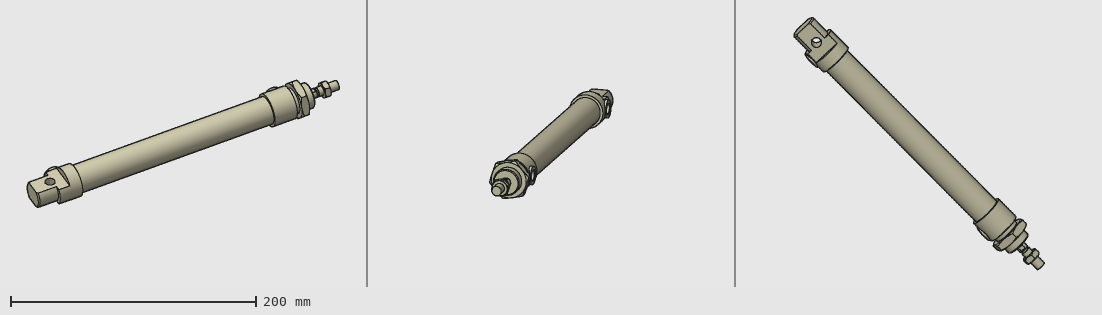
import cadquery as cq
import math


SHOULDER_Y = 18.0
REAR_STEP_Y = 28.0
TUBE_START_Y = 38.5
TUBE_END_Y = 215.5
FRONT_HEAD_END_Y = 236.0
COLLAR_END_Y = 254.2
ROD_END_Y = 280.0

TUBE_DIAMETER = 24.0
HEAD_DIAMETER = 28.5
COLLAR_DIAMETER = 22.0
COLLAR_CHAMFER = 0.8
TONGUE_THICKNESS = 16.2
TONGUE_CHAMFER = 1.0
PIVOT_HOLE_DIAMETER = 8.0
PIVOT_HOLE_Y = 16.0

PORT_BOSS_DIAMETER = 15.0
PORT_HOLE_DIAMETER = 8.7
PORT_HOLE_DEPTH = 5.5
PORT_CHAMFER = 0.5
PORT_FACE_X = -14.8
REAR_PORT_Y = SHOULDER_Y + PORT_BOSS_DIAMETER / 2
FRONT_PORT_Y = 228.0

ROD_DIAMETER = 8.0
GROOVE_DIAMETER = 6.5
GROOVE_START_Y = 260.0
GROOVE_WIDTH = 1.7
WRENCH_FLAT_WIDTH = 7.0
WRENCH_FLAT_START_Y = 255.5
WRENCH_FLAT_LENGTH = 3.5

HEXAGON_SIDES = 6
NUT_TURN = -12.0
COLLAR_NUT_FLATS = 30.0
COLLAR_NUT_CHAMFER_ANGLE = 30.0
COLLAR_NUT_START_Y = 240.0
COLLAR_NUT_THICKNESS = 7.0
ROD_NUT_FLATS = 13.0
ROD_NUT_CHAMFER_ANGLE = 45.0
ROD_NUT_START_Y = 266.0
ROD_NUT_THICKNESS = 5.3


def axial_cylinder(diameter, start_y, end_y):
    """Solid cylinder on the Y axis from start_y to end_y."""
    base = cq.Workplane("XZ", origin=(0, start_y, 0))
    return base.circle(diameter / 2).extrude(start_y - end_y)


def port_cylinder(diameter, port_y, start_x, length):
    """Cylinder along +X, centred on a port."""
    return cq.Workplane("YZ", origin=(start_x, port_y, 0)).circle(diameter / 2).extrude(length)


def make_rear_head():
    """Round head that steps down to a flat-sided tongue with a pivot hole."""
    tongue = axial_cylinder(COLLAR_DIAMETER, 0, SHOULDER_Y).faces("<Y").chamfer(TONGUE_CHAMFER)
    shoulder = axial_cylinder(HEAD_DIAMETER, SHOULDER_Y, REAR_STEP_Y)
    flat_slab = cq.Workplane("XY").box(
        HEAD_DIAMETER, REAR_STEP_Y, TONGUE_THICKNESS, centered=(True, False, True)
    )
    flat_end = tongue.union(shoulder).intersect(flat_slab)
    head = flat_end.union(axial_cylinder(HEAD_DIAMETER, REAR_STEP_Y, TUBE_START_Y))
    pivot_hole = (
        cq.Workplane("XY")
        .center(0, PIVOT_HOLE_Y)
        .circle(PIVOT_HOLE_DIAMETER / 2)
        .extrude(HEAD_DIAMETER, both=True)
    )
    return head.cut(pivot_hole)


def make_front_head():
    """Round head with the threaded mounting collar in front of it."""
    head = axial_cylinder(HEAD_DIAMETER, TUBE_END_Y, FRONT_HEAD_END_Y)
    collar = axial_cylinder(COLLAR_DIAMETER, FRONT_HEAD_END_Y, COLLAR_END_Y)
    return head.union(collar.faces(">Y").chamfer(COLLAR_CHAMFER))


def make_port_hole(port_y):
    """Blind port hole with a chamfered mouth, as a solid to cut away."""
    hole = port_cylinder(PORT_HOLE_DIAMETER, port_y, PORT_FACE_X, PORT_HOLE_DEPTH)
    mouth_diameter = PORT_HOLE_DIAMETER + 2 * PORT_CHAMFER
    cone = cq.Solid.makeCone(
        mouth_diameter / 2,
        PORT_HOLE_DIAMETER / 2,
        PORT_CHAMFER,
        pnt=cq.Vector(PORT_FACE_X, port_y, 0),
        dir=cq.Vector(1, 0, 0),
    )
    return hole.union(cq.Workplane(obj=cone))


def make_housing():
    """Tube and both heads in one piece, with the ports and the rod bore."""
    housing = axial_cylinder(TUBE_DIAMETER, TUBE_START_Y, TUBE_END_Y)
    housing = housing.union(make_rear_head()).union(make_front_head())
    for port_y in (REAR_PORT_Y, FRONT_PORT_Y):
        boss = port_cylinder(PORT_BOSS_DIAMETER, port_y, PORT_FACE_X, PORT_HOLE_DEPTH)
        housing = housing.union(boss).cut(make_port_hole(port_y))
    return housing.cut(axial_cylinder(ROD_DIAMETER, TUBE_END_Y, COLLAR_END_Y))


def make_rod():
    """Rod seated in the front head, with wrench flats and a thread relief groove."""
    rod = axial_cylinder(ROD_DIAMETER, TUBE_END_Y, ROD_END_Y)
    groove_end_y = GROOVE_START_Y + GROOVE_WIDTH
    groove = axial_cylinder(ROD_DIAMETER, GROOVE_START_Y, groove_end_y).cut(
        axial_cylinder(GROOVE_DIAMETER, GROOVE_START_Y, groove_end_y)
    )
    flat_stretch = cq.Workplane("XY", origin=(0, WRENCH_FLAT_START_Y, 0))
    flats = flat_stretch.box(
        ROD_DIAMETER, WRENCH_FLAT_LENGTH, ROD_DIAMETER, centered=(True, False, True)
    ).cut(
        flat_stretch.box(
            ROD_DIAMETER, WRENCH_FLAT_LENGTH, WRENCH_FLAT_WIDTH, centered=(True, False, True)
        )
    )
    return rod.cut(groove).cut(flats)


def make_nut(across_flats, bore_diameter, start_y, thickness, chamfer_angle):
    """Hexagon nut with its corners chamfered on both faces."""
    flat_radius = across_flats / 2
    corner_radius = flat_radius / math.cos(math.pi / HEXAGON_SIDES)
    chamfer_height = (corner_radius - flat_radius) * math.tan(math.radians(chamfer_angle))
    end_y = start_y + thickness
    hexagon = (
        cq.Workplane("XZ", origin=(0, start_y, 0))
        .polygon(HEXAGON_SIDES, 2 * corner_radius)
        .extrude(-thickness)
        .rotate((0, 0, 0), (0, 1, 0), -NUT_TURN)
    )
    chamfer_envelope = (
        cq.Workplane("XY")
        .moveTo(0, start_y)
        .lineTo(flat_radius, start_y)
        .lineTo(corner_radius, start_y + chamfer_height)
        .lineTo(corner_radius, end_y - chamfer_height)
        .lineTo(flat_radius, end_y)
        .lineTo(0, end_y)
        .close()
        .revolve(360, (0, 0, 0), (0, 1, 0))
    )
    return hexagon.intersect(chamfer_envelope).cut(axial_cylinder(bore_diameter, start_y, end_y))


housing = make_housing()
rod = make_rod()
collar_nut = make_nut(
    COLLAR_NUT_FLATS, COLLAR_DIAMETER, COLLAR_NUT_START_Y, COLLAR_NUT_THICKNESS, COLLAR_NUT_CHAMFER_ANGLE
)
rod_nut = make_nut(
    ROD_NUT_FLATS, ROD_DIAMETER, ROD_NUT_START_Y, ROD_NUT_THICKNESS, ROD_NUT_CHAMFER_ANGLE
)

result = cq.Compound.makeCompound([housing.val(), rod.val(), collar_nut.val(), rod_nut.val()])